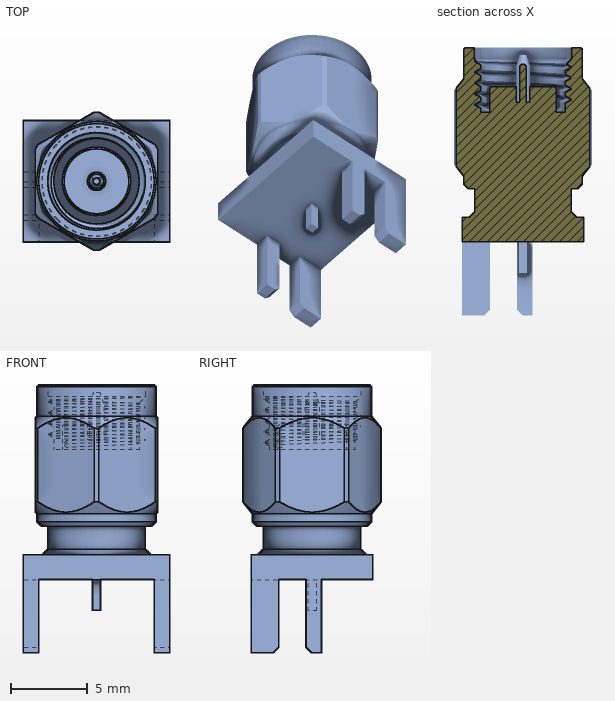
import cadquery as cq
import math


total_height = 17.42

base_length = 9.53
base_width = 7.92
base_bottom = 4.76
base_top = 6.38
leg_thickness = 1.02
leg_chamfer = 0.36
wide_leg_width = 1.8
narrow_leg_width = 1.02
leg_gap = 1.76

tail_size = 0.54
tail_bottom = 2.76

neck_diameter = 6.35
neck_flare = 0.36

nut_bottom = 8.22
nut_diameter = 7.76
nut_bottom_chamfer = 0.3
nut_top_chamfer = 0.13
hex_bottom = 9.03
hex_top = 15.39
hex_sides = 6
hex_across_flats = 7.94
hex_corner_diameter = 8.99
hex_chamfer_height = 0.78

mouth_diameter = 6.35
mouth_depth = 0.75
bore_diameter = 5.55
bore_depth = 4.2
thread_major_diameter = 6.3
thread_pitch = 25.4 / 36
thread_flank_half_angle = 30
thread_start_angle = -135
thread_start_depth = 3.83
thread_turns = 5
thread_cutter_overlap = 0.15

plug_diameter = 4.45
plug_chamfer = 0.12
plug_depth = 2.54
contact_hole_diameter = 1.19
contact_hole_depth = 1.0
contact_diameter = 0.94
contact_tip_diameter = 0.43
contact_tip_depth = 0.5
contact_cone_height = 0.77


def cylinder(diameter, bottom, top):
    return cq.Workplane("XY").workplane(offset=bottom).circle(diameter / 2).extrude(top - bottom)


def revolve_profile(points):
    """Revolve (radius, height) points about the Z axis."""
    return cq.Workplane("XZ").polyline(points).close().revolve(360, (0, 0), (0, 1))


def make_base():
    plate = (
        cq.Workplane("XY")
        .workplane(offset=base_bottom)
        .rect(base_length, base_width)
        .extrude(base_top - base_bottom)
    )
    tail = (
        cq.Workplane("XY")
        .workplane(offset=tail_bottom)
        .rect(tail_size, tail_size)
        .extrude(base_bottom - tail_bottom)
    )
    return plate.union(tail)


def make_leg(outer_y, gap_y, center_x):
    """A leg whose foot is chamfered on the edge at gap_y."""
    inward = math.copysign(leg_chamfer, outer_y - gap_y)
    profile = [
        (outer_y, base_bottom),
        (outer_y, 0),
        (gap_y + inward, 0),
        (gap_y, leg_chamfer),
        (gap_y, base_bottom),
    ]
    leg = cq.Workplane("YZ").polyline(profile).close().extrude(leg_thickness / 2, both=True)
    return leg.translate((center_x, 0, 0))


def make_legs():
    front_y = -base_width / 2
    gap_front_y = front_y + wide_leg_width
    gap_back_y = gap_front_y + leg_gap
    back_y = gap_back_y + narrow_leg_width
    legs = []
    for side in (-1, 1):
        center_x = side * (base_length - leg_thickness) / 2
        legs.append(make_leg(front_y, gap_front_y, center_x))
        legs.append(make_leg(back_y, gap_back_y, center_x))
    return legs


def make_neck():
    radius = neck_diameter / 2
    return revolve_profile([
        (0, base_top),
        (radius + neck_flare, base_top),
        (radius, base_top + neck_flare),
        (radius, nut_bottom),
        (0, nut_bottom),
    ])


def make_hex():
    """Hexagon with flats facing +X and -X, turned down at its corners and ends."""
    half_sector_angle = 180 / hex_sides
    across_corners = hex_across_flats / math.cos(math.radians(half_sector_angle))
    prism = (
        cq.Workplane("XY")
        .workplane(offset=hex_bottom)
        .polygon(hex_sides, across_corners)
        .extrude(hex_top - hex_bottom)
        .rotate((0, 0, 0), (0, 0, 1), half_sector_angle)
    )
    turned = revolve_profile([
        (0, hex_bottom),
        (nut_diameter / 2, hex_bottom),
        (hex_corner_diameter / 2, hex_bottom + hex_chamfer_height),
        (hex_corner_diameter / 2, hex_top - hex_chamfer_height),
        (nut_diameter / 2, hex_top),
        (0, hex_top),
    ])
    return prism.intersect(turned)


def make_nut():
    barrel = cylinder(nut_diameter, nut_bottom, total_height)
    barrel = barrel.faces(">Z").chamfer(nut_top_chamfer)
    barrel = barrel.faces("<Z").chamfer(nut_bottom_chamfer)
    return barrel.union(make_hex())


def make_socket():
    """Cutter: plain mouth, 45 degree lead-in and threaded bore."""
    mouth_floor = total_height - mouth_depth
    lead_in = (mouth_diameter - bore_diameter) / 2
    bore_floor = total_height - bore_depth
    return revolve_profile([
        (0, bore_floor),
        (bore_diameter / 2, bore_floor),
        (bore_diameter / 2, mouth_floor - lead_in),
        (mouth_diameter / 2, mouth_floor),
        (mouth_diameter / 2, total_height),
        (0, total_height),
    ])


def make_groove_turn():
    """Cutter: the lowest turn of a V groove along a right-hand helix."""
    inner_radius = bore_diameter / 2 - thread_cutter_overlap
    outer_radius = thread_major_diameter / 2
    half_width = (outer_radius - inner_radius) * math.tan(math.radians(thread_flank_half_angle))
    helix = cq.Wire.makeHelix(thread_pitch, thread_pitch, inner_radius)
    groove = (
        cq.Workplane("XZ")
        .polyline([(inner_radius, -half_width), (outer_radius, 0), (inner_radius, half_width)])
        .close()
        .sweep(cq.Workplane(helix), isFrenet=True)
    )
    groove = groove.rotate((0, 0, 0), (0, 0, 1), thread_start_angle)
    return groove.translate((0, 0, total_height - thread_start_depth))


def cut_thread(nut):
    turn = make_groove_turn()
    for index in range(thread_turns):
        nut = nut.cut(turn.translate((0, 0, index * thread_pitch)))
    return nut


def make_plug():
    plug_top = total_height - plug_depth
    plug = cylinder(plug_diameter, total_height - bore_depth, plug_top)
    plug = plug.faces(">Z").chamfer(plug_chamfer)
    return plug.cut(cylinder(contact_hole_diameter, plug_top - contact_hole_depth, plug_top))


def make_contact():
    tip = total_height - contact_tip_depth
    bottom = total_height - plug_depth - contact_hole_depth
    radius = contact_diameter / 2
    return revolve_profile([
        (0, bottom),
        (radius, bottom),
        (radius, tip - contact_cone_height),
        (contact_tip_diameter / 2, tip),
        (0, tip),
    ])


nut = cut_thread(make_nut().cut(make_socket()))
parts = make_legs() + [make_neck(), nut, make_plug(), make_contact()]
result = make_base()
for part in parts:
    result = result.union(part)